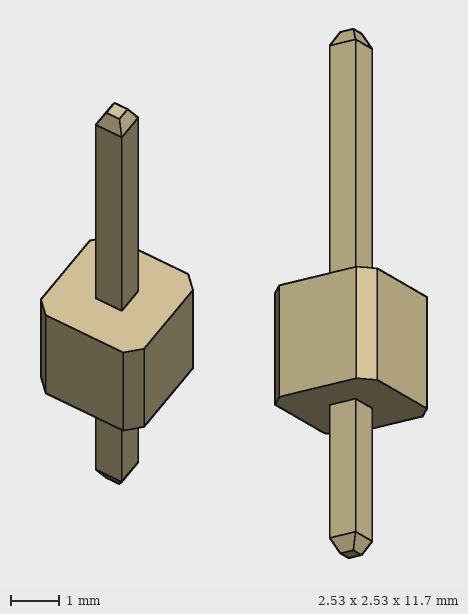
import cadquery as cq

total_height = 11.68
housing_width = 2.53
housing_height = 2.5
corner_chamfer = 0.32

pin_width = 0.64
tip_width = pin_width / 2
tip_height = 0.33
lower_pin_length = 3.3
upper_pin_length = total_height - housing_height - lower_pin_length


def make_housing():
    """Square block with chamfered vertical edges, its base at Z = 0."""
    return (
        cq.Workplane("XY")
        .rect(housing_width, housing_width)
        .extrude(housing_height)
        .edges("|Z")
        .chamfer(corner_chamfer)
    )


def make_pin(length):
    """Square pin rising from Z = 0 and ending in a tapered tip."""
    shank_length = length - tip_height
    shank = cq.Workplane("XY").rect(pin_width, pin_width).extrude(shank_length)
    tip = (
        cq.Workplane("XY", origin=(0, 0, shank_length))
        .rect(pin_width, pin_width)
        .workplane(offset=tip_height)
        .rect(tip_width, tip_width)
        .loft(ruled=True)
    )
    return shank.union(tip)


housing = make_housing()

upper_pin = make_pin(upper_pin_length).translate((0, 0, housing_height))
lower_pin = make_pin(lower_pin_length).rotate((0, 0, 0), (1, 0, 0), 180)

result = cq.Compound.makeCompound([housing.val(), upper_pin.val(), lower_pin.val()])